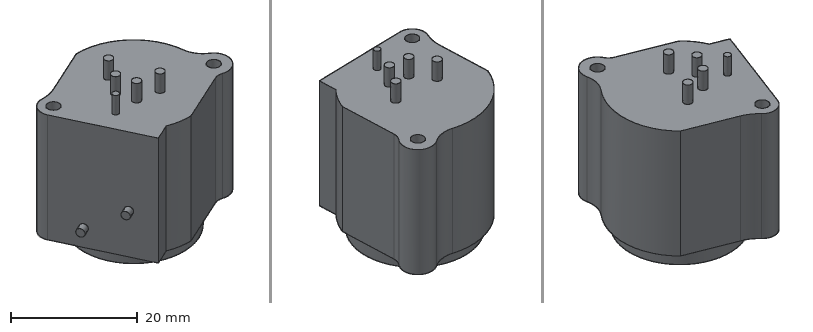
import cadquery as cq
import math

base_height = 2.7
body_height = 24.0
pin_height = 3.7
body_top = base_height + body_height

base_radius = 11.0
body_radius = 12.5
half_width = 11.45
front_y = -body_radius
notch_x = 8.75

hole_offset = 9.85
lug_angle = 45
hole_radius = 1.2
back_lug_radius = 3.0
front_lug_radius = body_radius - hole_offset
back_arc_blend = 5.0
back_wall_blend = 2.5
front_wall_blend = 7.5

contact_radius = 0.82
contact_places = [(-4.45, 0.6), (4.45, 0), (-1.9, -3.13), (1.9, -3.77)]
small_contact_radius = 0.6
small_contact_y = -8.2

side_pin_radius = 0.8
side_pin_length = 1.5
side_pin_places = [(-3.8, 6.48), (3.8, 11.6)]


def toward(start, end, distance):
    """Point at the given distance from start on the line to end."""
    share = distance / math.dist(start, end)
    return (start[0] + share * (end[0] - start[0]), start[1] + share * (end[1] - start[1]))


def on_circle(center, radius, degrees):
    """Point on a circle at an angle from the X axis."""
    angle = math.radians(degrees)
    return (center[0] + radius * math.cos(angle), center[1] + radius * math.sin(angle))


def arc_middle(center, start, end, radius):
    """Middle point of the shorter arc from start to end."""
    chord_middle = ((start[0] + end[0]) / 2, (start[1] + end[1]) / 2)
    return toward(center, chord_middle, radius)


def wall_blend_drop(lug_radius, blend_radius):
    """Y distance from a lug centre to the centre of its blend into a side wall."""
    across = half_width + blend_radius - hole_offset
    return math.sqrt((lug_radius + blend_radius) ** 2 - across ** 2)


def make_body():
    axis = (0, 0)
    back_lug = (hole_offset, hole_offset)
    front_lug = (-hole_offset, -hole_offset)

    lug_distance = math.dist(axis, back_lug)
    reach = body_radius + back_arc_blend
    lug_reach = back_lug_radius + back_arc_blend
    cosine = (reach ** 2 + lug_distance ** 2 - lug_reach ** 2) / (2 * reach * lug_distance)
    arc_blend = on_circle(axis, reach, lug_angle + math.degrees(math.acos(cosine)))

    right_blend_y = hole_offset - wall_blend_drop(back_lug_radius, back_wall_blend)
    right_blend = (half_width + back_wall_blend, right_blend_y)
    left_blend_y = -hole_offset + wall_blend_drop(front_lug_radius, front_wall_blend)
    left_blend = (-half_width - front_wall_blend, left_blend_y)

    wall_end_y = math.sqrt(body_radius ** 2 - half_width ** 2)
    notch_y = -math.sqrt(body_radius ** 2 - notch_x ** 2)
    right_middle = arc_middle(axis, (notch_x, notch_y), (half_width, -wall_end_y), body_radius)
    round_start = toward(arc_blend, axis, back_arc_blend)
    lug_start = toward(back_lug, arc_blend, back_lug_radius)
    lug_end = toward(back_lug, right_blend, back_lug_radius)
    right_blend_middle = arc_middle(right_blend, (half_width, right_blend_y), lug_end, back_wall_blend)
    arc_blend_middle = arc_middle(arc_blend, lug_start, round_start, back_arc_blend)
    left_end = toward(front_lug, left_blend, front_lug_radius)
    left_blend_middle = arc_middle(left_blend, (-half_width, left_blend_y), left_end, front_wall_blend)

    outline = (
        cq.Workplane("XY", origin=(0, 0, base_height))
        .moveTo(-hole_offset, front_y)
        .lineTo(notch_x, front_y)
        .lineTo(notch_x, notch_y)
        .threePointArc(right_middle, (half_width, -wall_end_y))
        .lineTo(half_width, right_blend_y)
        .threePointArc(right_blend_middle, lug_end)
        .threePointArc(on_circle(back_lug, back_lug_radius, lug_angle), lug_start)
        .threePointArc(arc_blend_middle, round_start)
        .threePointArc(on_circle(axis, body_radius, lug_angle + 90), (-half_width, wall_end_y))
        .lineTo(-half_width, left_blend_y)
        .threePointArc(left_blend_middle, left_end)
        .threePointArc(on_circle(front_lug, front_lug_radius, lug_angle + 180), (-hole_offset, front_y))
        .close()
    )
    holes = (
        cq.Workplane("XY", origin=(0, 0, base_height))
        .pushPoints([back_lug, front_lug])
        .circle(hole_radius)
        .extrude(body_height)
    )
    return outline.extrude(body_height).cut(holes)


def make_contacts(places, radius):
    top = cq.Workplane("XY", origin=(0, 0, body_top))
    return top.pushPoints(places).circle(radius).extrude(pin_height)


def make_side_pins():
    front = cq.Workplane("XZ", origin=(0, front_y, 0))
    return front.pushPoints(side_pin_places).circle(side_pin_radius).extrude(side_pin_length)


base = cq.Workplane("XY").circle(base_radius).extrude(base_height)
result = (
    base.union(make_body())
    .union(make_contacts(contact_places, contact_radius))
    .union(make_contacts([(0, small_contact_y)], small_contact_radius))
    .union(make_side_pins())
)